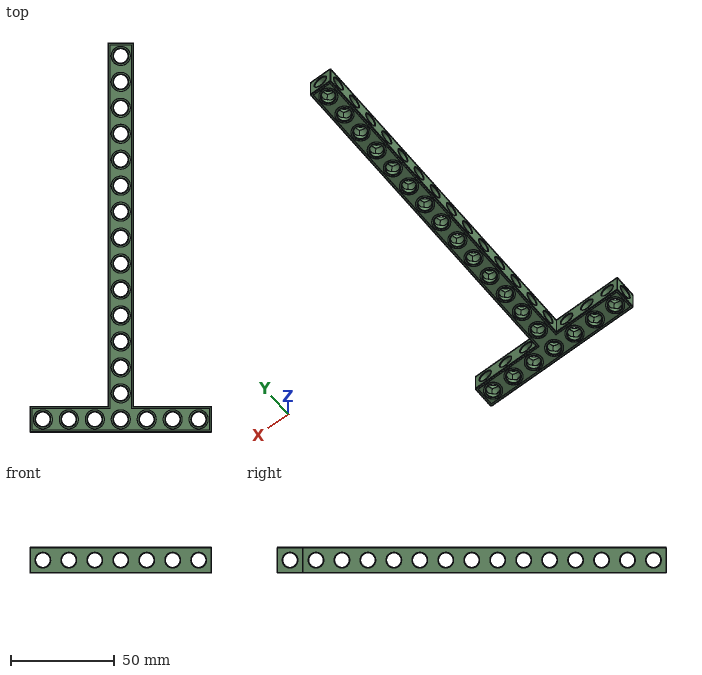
import cadquery as cq

pitch = 12.5
foot_holes = 7
stem_holes = 15

edge_chamfer = 0.3
hole_diameter = 7.0
hole_chamfer = edge_chamfer

recess_depth = 0.2
collar_diameter = 9.2
rim_width = (collar_diameter - hole_diameter) / 2

foot_length = foot_holes * pitch
stem_length = stem_holes * pitch
half_beam = pitch / 2
stem_end = stem_length - half_beam

foot_xs = [(i - (foot_holes - 1) / 2) * pitch for i in range(foot_holes)]
stem_ys = [i * pitch for i in range(stem_holes)]
vertical_holes = [(x, 0) for x in foot_xs] + [(0, y) for y in stem_ys[1:]]


def tee_prism(inset, bottom, height):
    """T-shaped prism whose outline lies inside the part's outline by the inset."""
    foot_half = foot_length / 2 - inset
    half = half_beam - inset
    outline = [
        (-foot_half, -half),
        (foot_half, -half),
        (foot_half, half),
        (half, half),
        (half, stem_end - inset),
        (-half, stem_end - inset),
        (-half, half),
        (-foot_half, half),
    ]
    return cq.Workplane("XY", origin=(0, 0, bottom)).polyline(outline).close().extrude(height)


def make_body():
    """Solid T with all edges chamfered except the two inner corners."""
    body = tee_prism(0, -half_beam, pitch)
    inner_corners = cq.selectors.BoxSelector((-pitch, 0, -pitch), (pitch, pitch, pitch))
    all_corners = cq.selectors.ParallelDirSelector(cq.Vector(0, 0, 1))
    outer_corners = cq.selectors.SubtractSelector(all_corners, inner_corners)
    body = body.edges(outer_corners).chamfer(edge_chamfer)
    return body.faces("<Z or >Z").chamfer(edge_chamfer)


def make_recess(bottom):
    """Recess volume inside the rim, with the hole collars left standing."""
    recess = tee_prism(rim_width, bottom, recess_depth)
    collars = (
        cq.Workplane("XY", origin=(0, 0, bottom))
        .pushPoints(vertical_holes)
        .circle(collar_diameter / 2)
        .extrude(recess_depth)
    )
    return recess.cut(collars)


def make_hole(start, direction, length):
    """Through hole from a start point, with a chamfered mouth at both ends."""
    radius = hole_diameter / 2
    mouth_radius = radius + hole_chamfer
    axis = cq.Vector(*direction)
    entry = cq.Vector(*start)
    far_end = entry + axis * length
    bore = cq.Solid.makeCylinder(radius, length, entry, axis)
    entry_mouth = cq.Solid.makeCone(mouth_radius, radius, hole_chamfer, entry, axis)
    far_mouth = cq.Solid.makeCone(mouth_radius, radius, hole_chamfer, far_end, axis * -1)
    return cq.Workplane(obj=bore.fuse(entry_mouth, far_mouth))


result = make_body()

for recess_bottom in (half_beam - recess_depth, -half_beam):
    result = result.cut(make_recess(recess_bottom))

for x, y in vertical_holes:
    result = result.cut(make_hole((x, y, -half_beam), (0, 0, 1), pitch))

for x in foot_xs:
    hole_length = stem_length if x == 0 else pitch
    result = result.cut(make_hole((x, -half_beam, 0), (0, 1, 0), hole_length))

for y in stem_ys:
    hole_length = foot_length if y == 0 else pitch
    result = result.cut(make_hole((-hole_length / 2, y, 0), (1, 0, 0), hole_length))